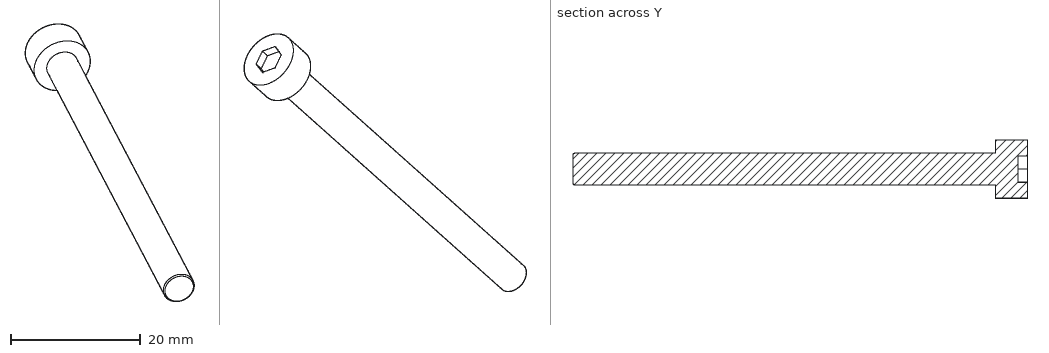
import cadquery as cq
import math

total_length = 70.0
shank_diameter = 5.0
head_diameter = 9.0
head_height = 5.0
socket_across_flats = 4.0
socket_depth = 1.5
tip_chamfer = 0.2

head_face_x = -total_length / 2
socket_across_corners = socket_across_flats / math.cos(math.pi / 6)

head_plane = cq.Workplane("YZ", origin=(head_face_x, 0, 0))

shank = head_plane.circle(shank_diameter / 2).extrude(total_length)
shank = shank.faces(">X").chamfer(tip_chamfer)

head = head_plane.circle(head_diameter / 2).extrude(head_height)

socket = head_plane.polygon(6, socket_across_corners).extrude(socket_depth)

result = head.union(shank).cut(socket)